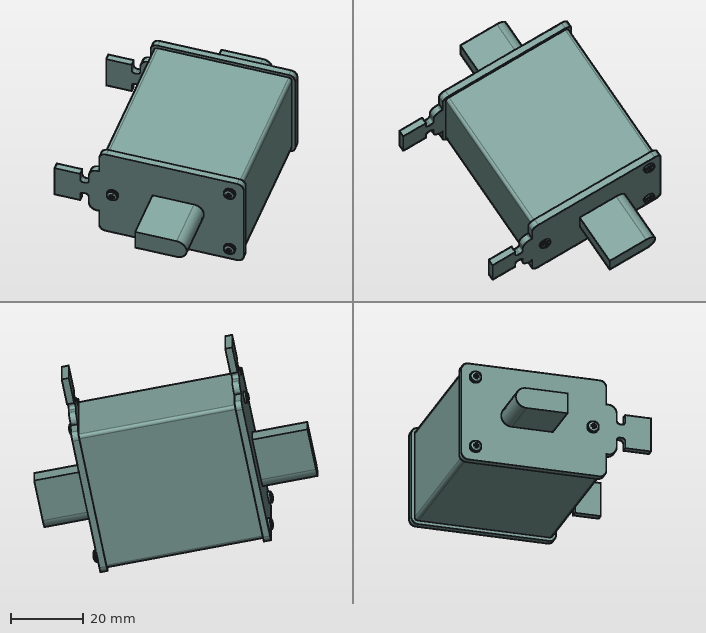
import cadquery as cq
import math


total_length = 77.0
total_width = 55.0

plate_overhang = 1.0
casing_corner_radius = 1.0

plate_width = 42.05
plate_height = 29.0
plate_thickness = 2.0
plate_corner_radius = plate_overhang + casing_corner_radius
plates_span = 48.05

ear_length = 3.0
ear_height = 15.0
ear_corner_radius = 2.5
neck_length = 2.5
neck_height = 4.0
neck_corner_radius = 1.0
tag_height = 10.0

blade_width = 14.9
blade_thickness = 6.0
blade_flat_edge_x = -5.5
rear_blade_length = 13.5
front_blade_length = total_length - plates_span - rear_blade_length

screw_offset_x = 17.0
screw_offset_z = 10.5
head_diameter = 3.2
head_rim_height = 0.6
head_bevel_width = 0.1
head_bevel_height = 0.2
head_height = 1.3
recess_span = 1.4
recess_arm_width = 0.5
recess_depth = 0.6

plate_edge_x = plate_width / 2
ear_edge_x = -plate_edge_x - ear_length
tag_edge_x = plate_edge_x - total_width
tag_length = total_width - plate_width - ear_length - neck_length
outer_face_y = plates_span / 2
inner_face_y = outer_face_y - plate_thickness


def slab(width, height, thickness, left_x, start_y):
    """Block from left_x towards +X and from start_y towards +Y, centred on Z = 0."""
    return cq.Workplane("XY").box(width, thickness, height, centered=(False, False, True)).translate(
        (left_x, start_y, 0)
    )


def make_casing():
    width = plate_width - 2 * plate_overhang
    height = plate_height - 2 * plate_overhang
    block = slab(width, height, 2 * inner_face_y, -width / 2, -inner_face_y)
    return block.edges("|Y").fillet(casing_corner_radius)


def make_end_plate(start_y):
    """Rounded plate with an ear, a narrow neck and a rectangular tag on its -X edge."""
    plate = slab(plate_width, plate_height, plate_thickness, -plate_edge_x, start_y)
    plate = plate.edges("|Y").fillet(plate_corner_radius)
    ear = slab(2 * ear_length, ear_height, plate_thickness, ear_edge_x, start_y)
    ear = ear.edges("|Y and <X").fillet(ear_corner_radius)
    neck = slab(neck_length, neck_height, plate_thickness, ear_edge_x - neck_length, start_y)
    tag = slab(tag_length, tag_height, plate_thickness, tag_edge_x, start_y)
    margin = neck_corner_radius / 2
    tagged_plate = plate.union(ear).union(neck).union(tag)
    neck_roots = cq.selectors.BoxSelector(
        (ear_edge_x - neck_length - margin, start_y - margin, -neck_height / 2 - margin),
        (ear_edge_x + margin, start_y + plate_thickness + margin, neck_height / 2 + margin),
    )
    return tagged_plate.edges("|Y").edges(neck_roots).fillet(neck_corner_radius)


def make_blade(start_y, length):
    """Bar with one square edge and one fully rounded edge towards +X."""
    radius = blade_thickness / 2
    arc_start_x = blade_flat_edge_x + blade_width - radius
    return (
        cq.Workplane("XZ", origin=(0, start_y, 0))
        .moveTo(blade_flat_edge_x, -radius)
        .lineTo(arc_start_x, -radius)
        .threePointArc((arc_start_x + radius, 0), (arc_start_x, radius))
        .lineTo(blade_flat_edge_x, radius)
        .close()
        .extrude(-length)
    )


def make_housing():
    housing = make_casing()
    for plate_start_y in (-outer_face_y, inner_face_y):
        housing = housing.union(make_end_plate(plate_start_y))
    front_blade = make_blade(-outer_face_y - front_blade_length, front_blade_length)
    rear_blade = make_blade(outer_face_y, rear_blade_length)
    return housing.union(front_blade).union(rear_blade)


def make_screw():
    """Head with a cylindrical rim, a narrow bevel and a dome; seated on Z = 0 and facing +Z."""
    radius = head_diameter / 2
    dome_radius = radius - head_bevel_width
    dome_base = head_rim_height + head_bevel_height
    dome_rise = head_height - dome_base
    sphere_radius = (dome_radius**2 + dome_rise**2) / (2 * dome_rise)
    dome_mid_x = dome_radius / 2
    dome_mid_z = head_height - sphere_radius + math.sqrt(sphere_radius**2 - dome_mid_x**2)
    head = (
        cq.Workplane("XZ")
        .lineTo(radius, 0)
        .lineTo(radius, head_rim_height)
        .lineTo(dome_radius, dome_base)
        .threePointArc((dome_mid_x, dome_mid_z), (0, head_height))
        .close()
        .revolve(360, (0, 0, 0), (0, 1, 0))
    )
    return head.cut(make_cross_recess())


def make_cross_recess():
    floor = cq.Workplane("XY", origin=(0, 0, head_height - recess_depth))
    arm_along_x = floor.rect(recess_span, recess_arm_width).extrude(recess_depth)
    arm_along_y = floor.rect(recess_arm_width, recess_span).extrude(recess_depth)
    return arm_along_x.union(arm_along_y)


def make_screws():
    places = [
        (-screw_offset_x, 0),
        (screw_offset_x, screw_offset_z),
        (screw_offset_x, -screw_offset_z),
    ]
    screws = []
    for side in (-1, 1):
        facing = make_screw().rotate((0, 0, 0), (1, 0, 0), -90 * side)
        for x, z in places:
            screws.append(facing.translate((x, side * outer_face_y, z)))
    return screws


housing = make_housing()
screws = make_screws()
result = cq.Compound.makeCompound([housing.val(), *[screw.val() for screw in screws]])